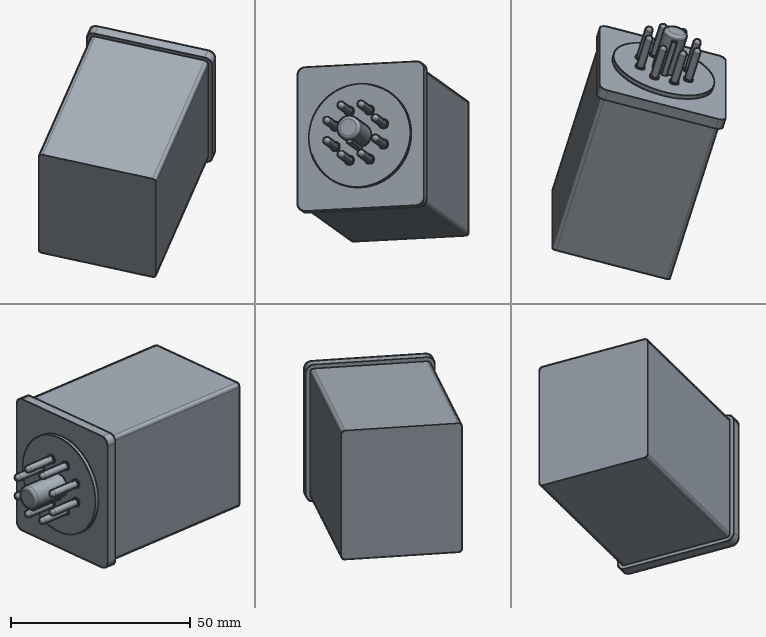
import cadquery as cq
import math

flange_width = 36.58
flange_height = 40.89
flange_thickness = 3.05
flange_corner_radius = 2.25

cover_step = 1.19
cover_width = flange_width - 2 * cover_step
cover_height = flange_height - 2 * cover_step
cover_corner_radius = flange_corner_radius - cover_step

base_diameter = 29.3
base_thickness = 1.2

post_diameter = 6.75
post_length = 12.3
post_tip_radius = 1.0
key_reach = 4.15
key_setback = 1.6
key_width = 1.5

pin_count = 8
pin_circle_radius = 7.55
pin_radius = 1.05
pin_length = 10.1
collar_radius = 1.32
collar_height = 0.4

overall_length = 65.66
cover_length = overall_length - flange_thickness - base_thickness - post_length

flange_back = flange_thickness
base_back = flange_back + base_thickness


def section_at(y):
    """Sketch plane at station y, with extrusion toward +Y and local y along +Z."""
    return cq.Workplane(cq.Plane(origin=(0, y, 0), xDir=(-1, 0, 0), normal=(0, 1, 0)))


def rounded_block(front, width, height, length, corner_radius):
    block = section_at(front).rect(width, height).extrude(length)
    return block.edges("|Y").fillet(corner_radius)


def make_post():
    post = section_at(base_back).circle(post_diameter / 2).extrude(post_length)
    return post.faces(">Y").edges().fillet(post_tip_radius)


def make_key():
    return (
        section_at(base_back)
        .center(0, -key_reach / 2)
        .rect(key_width, key_reach)
        .extrude(post_length - key_setback)
    )


def make_pin():
    """Pin on the +X side of the ring, revolved about its own axis from a half profile."""
    tip = base_back + pin_length
    shoulder = tip - pin_radius
    collar_top = base_back + collar_height
    tip_arc_offset = pin_radius * math.cos(math.radians(45))
    return (
        cq.Workplane("XY")
        .center(pin_circle_radius, 0)
        .moveTo(0, flange_back)
        .lineTo(collar_radius, flange_back)
        .lineTo(collar_radius, collar_top)
        .lineTo(pin_radius, collar_top)
        .lineTo(pin_radius, shoulder)
        .threePointArc((tip_arc_offset, shoulder + tip_arc_offset), (0, tip))
        .close()
        .revolve(360, (0, 0), (0, 1))
    )


cover = rounded_block(-cover_length, cover_width, cover_height, cover_length, cover_corner_radius)
flange = rounded_block(0, flange_width, flange_height, flange_thickness, flange_corner_radius)
base = section_at(flange_back).circle(base_diameter / 2).extrude(base_thickness)

result = cover.union(flange).union(base).union(make_post()).union(make_key())

pin = make_pin()
pin_spacing = 360 / pin_count
for index in range(pin_count):
    angle = (index + 0.5) * pin_spacing
    result = result.union(pin.rotate((0, 0, 0), (0, 1, 0), angle))